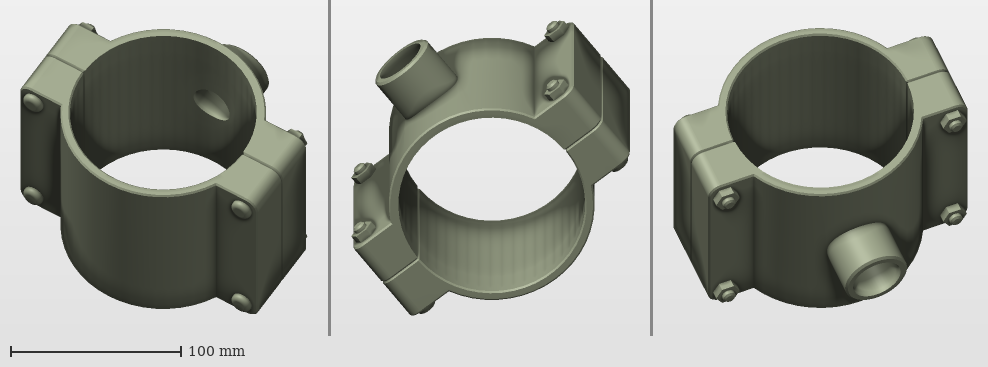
import cadquery as cq
import math

width = 165.0
height = 116.0
bore_radius = 55.0
shell_radius = 60.5
flange_depth = 27.5
corner_radius = 8.0
edge_chamfer = 1.0

branch_root = 56.1
branch_end = 86.8
branch_diameter = 39.5
branch_hole_diameter = 25.0
socket_diameter = 30.4
socket_floor = 66.0
branch_chamfer = 1.3

bolt_x = 72.3
bolt_z = 47.5
head_diameter = 13.0
head_height = 4.0
head_round = 3.0
shank_diameter = 8.0
nut_flats = 13.0
nut_height = 4.8
bolt_tip = 3.3
tip_chamfer = 1.2

flange_root = math.sqrt(shell_radius**2 - flange_depth**2)


def round_bar(diameter, start_y, end_y):
    """Cylinder around the Y axis between two Y positions."""
    bar = cq.Workplane("XZ", origin=(0, start_y, 0)).circle(diameter / 2)
    return bar.extrude(start_y - end_y)


def chamfer_rims(body, chamfer_bore):
    """Break the rims of the split face, the flange faces and the shell ends."""

    def on_rim(edge):
        box = edge.BoundingBox()
        lies_in_y_plane = box.ylen < edge_chamfer
        if lies_in_y_plane:
            return abs(abs(edge.Center().x) - flange_root) > edge_chamfer
        if edge.geomType() != "CIRCLE":
            return False
        is_bore = edge.radius() < (bore_radius + shell_radius) / 2
        return chamfer_bore or not is_bore

    rims = [edge for edge in body.edges().vals() if on_rim(edge)]
    return body.newObject(rims).chamfer(edge_chamfer)


def clamp_half(side, chamfer_bore):
    """Half shell with both flanges; side is +1 for the back and -1 for the front."""
    flange_y = side * flange_depth
    body = (
        cq.Workplane("XY", origin=(0, 0, -height / 2))
        .moveTo(bore_radius, 0)
        .lineTo(width / 2, 0)
        .lineTo(width / 2, flange_y)
        .lineTo(flange_root, flange_y)
        .threePointArc((0, side * shell_radius), (-flange_root, flange_y))
        .lineTo(-width / 2, flange_y)
        .lineTo(-width / 2, 0)
        .lineTo(-bore_radius, 0)
        .threePointArc((0, side * bore_radius), (bore_radius, 0))
        .close()
        .extrude(height)
    )
    body = body.edges("|Y and (<X or >X)").fillet(corner_radius)
    return chamfer_rims(body, chamfer_bore)


def add_branch(body):
    """Pipe branch on the shell, with a wide socket and a narrower hole into the bore."""
    pipe = round_bar(branch_diameter, branch_root, branch_end)
    pipe = pipe.faces(">Y").edges().chamfer(branch_chamfer)
    hole = round_bar(branch_hole_diameter, bore_radius / 2, socket_floor)
    socket = round_bar(socket_diameter, socket_floor, branch_end)
    return body.union(pipe).cut(hole).cut(socket)


def make_bolt():
    """Round-headed bolt through both flanges with a hexagon nut on the back."""
    head = round_bar(head_diameter, -flange_depth, -flange_depth - head_height)
    head = head.faces("<Y").edges().fillet(head_round)

    tip_y = flange_depth + nut_height + bolt_tip
    shank = round_bar(shank_diameter, -flange_depth, tip_y)
    shank = shank.faces(">Y").edges().chamfer(tip_chamfer)

    nut_corners = nut_flats / math.cos(math.pi / 6)
    nut = cq.Workplane("XZ", origin=(0, flange_depth, 0)).polygon(6, nut_corners)
    return head.union(shank).union(nut.extrude(-nut_height))


front_half = clamp_half(side=-1, chamfer_bore=True)
back_half = add_branch(clamp_half(side=1, chamfer_bore=False))

result = front_half.union(back_half)
bolt = make_bolt()
for x in (-bolt_x, bolt_x):
    for z in (-bolt_z, bolt_z):
        result = result.union(bolt.translate((x, 0, z)))